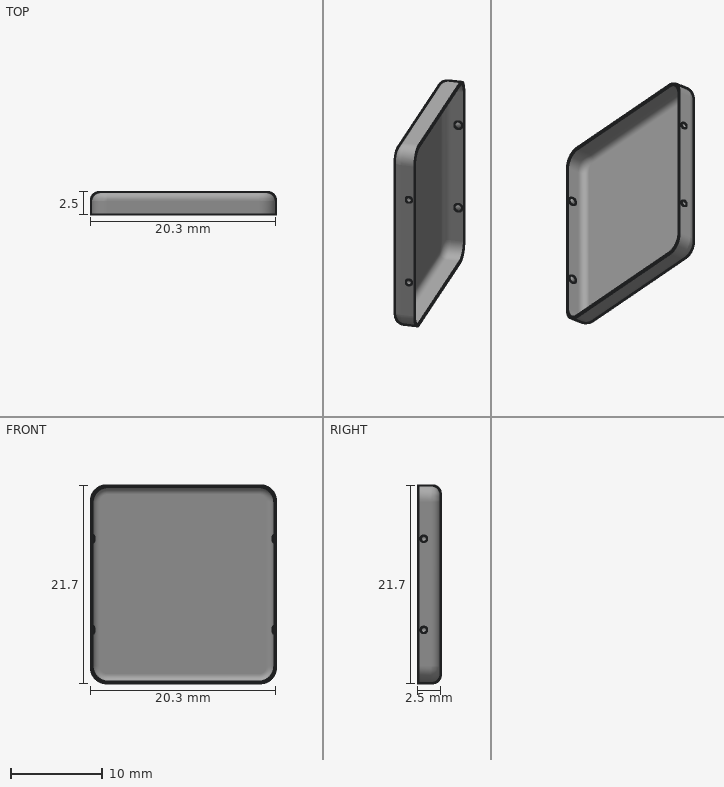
import cadquery as cq
import math

width = 20.3
depth = 2.5
height = 21.7
wall = 0.2
corner_radius = 1.8
floor_edge_radius = 1.0

dimple_radius = 0.35
dimple_depth = 0.2
dimple_tip_radius = 0.09
dimple_setback = 0.63
dimple_spacing = 9.98


def rounded_block(inset):
    """Block with rounded corners and rear edge, inset from the tray's outside."""
    return (
        cq.Workplane("XZ", origin=(0, -depth / 2, 0))
        .rect(width - 2 * inset, height - 2 * inset)
        .extrude(-(depth - inset))
        .edges("|Y")
        .fillet(corner_radius - inset)
        .faces(">Y")
        .edges()
        .fillet(floor_edge_radius - inset)
    )


arc_offset = (dimple_radius**2 - dimple_tip_radius**2 - dimple_depth**2) / (2 * dimple_depth)
hollow_radius = math.hypot(dimple_radius, arc_offset)
bump_radius = hollow_radius + wall


def dome(arc_radius, tip_distance, side, z):
    """Flat-tipped dome along X, from the outer face of a side wall inward.

    The tip lies tip_distance inside the outer face.
    """
    rim_radius = math.sqrt(arc_radius**2 - arc_offset**2)
    tip_radius = math.sqrt(arc_radius**2 - (tip_distance + arc_offset) ** 2)
    middle_distance = tip_distance / 2
    middle_radius = math.sqrt(arc_radius**2 - (middle_distance + arc_offset) ** 2)
    y = -depth / 2 + dimple_setback
    return (
        cq.Workplane("XY", origin=(side * width / 2, y, z))
        .lineTo(0, rim_radius)
        .threePointArc((-side * middle_distance, middle_radius), (-side * tip_distance, tip_radius))
        .lineTo(-side * tip_distance, 0)
        .close()
        .revolve(360, (0, 0, 0), (1, 0, 0))
    )


outside = rounded_block(0)
result = outside.cut(rounded_block(wall))

for side in (-1, 1):
    for z in (-dimple_spacing / 2, dimple_spacing / 2):
        bump = dome(bump_radius, dimple_depth + wall, side, z)
        hollow = dome(hollow_radius, dimple_depth, side, z)
        result = result.union(bump).cut(hollow)